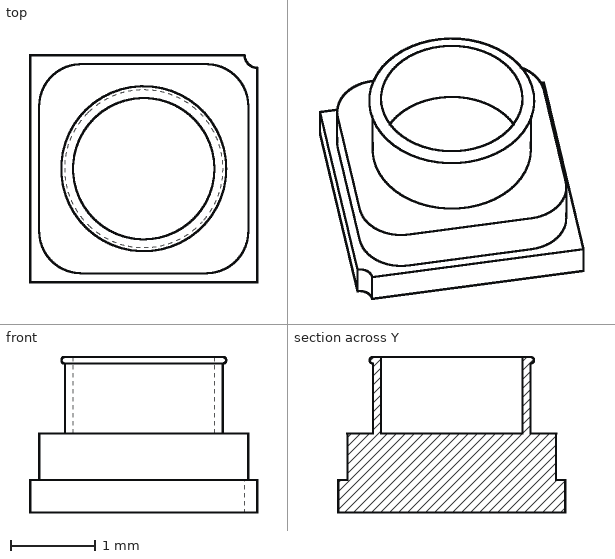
import cadquery as cq

base_side = 2.7
base_height = 0.39
notch_radius = 0.15

body_side = 2.485
body_height = 0.55
body_corner_radius = 0.5

total_height = 1.85
tube_diameter = 1.88
bore_diameter = 1.68
lip_height = 0.08
lip_overhang = lip_height / 2

body_top = base_height + body_height
tube_height = total_height - body_top
lip_bottom = total_height - lip_height


def make_base():
    plate = cq.Workplane("XY").rect(base_side, base_side).extrude(base_height)
    notch = (
        cq.Workplane("XY")
        .center(base_side / 2, base_side / 2)
        .circle(notch_radius)
        .extrude(base_height)
    )
    return plate.cut(notch)


def make_body():
    return (
        cq.Workplane("XY")
        .workplane(offset=base_height)
        .rect(body_side, body_side)
        .extrude(body_height)
        .edges("|Z")
        .fillet(body_corner_radius)
    )


def make_tube():
    return (
        cq.Workplane("XY")
        .workplane(offset=body_top)
        .circle(tube_diameter / 2)
        .circle(bore_diameter / 2)
        .extrude(tube_height)
    )


def make_lip():
    """Ring with a half-round outer edge, revolved about the tube axis."""
    tube_radius = tube_diameter / 2
    bore_radius = bore_diameter / 2
    lip_middle = total_height - lip_height / 2
    return (
        cq.Workplane("XZ")
        .moveTo(bore_radius, lip_bottom)
        .lineTo(tube_radius, lip_bottom)
        .threePointArc((tube_radius + lip_overhang, lip_middle), (tube_radius, total_height))
        .lineTo(bore_radius, total_height)
        .close()
        .revolve(360, (0, 0, 0), (0, 1, 0))
    )


result = make_base().union(make_body()).union(make_tube()).union(make_lip())